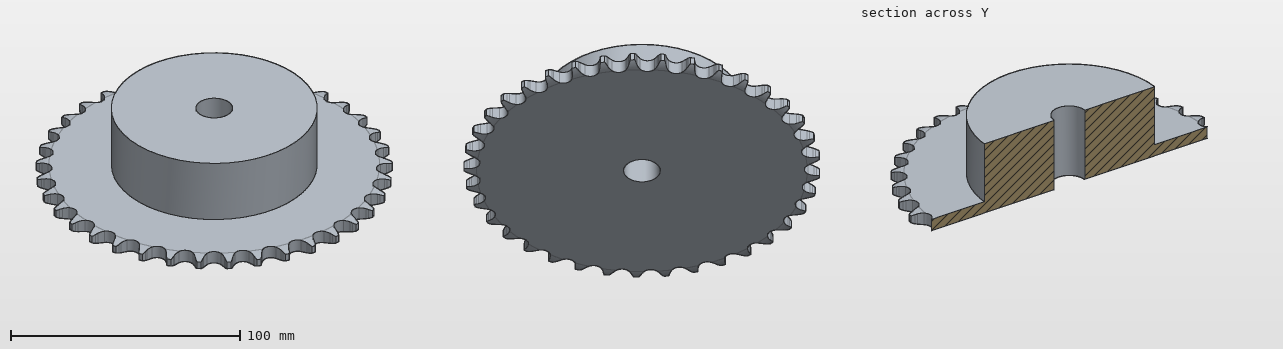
import cadquery as cq
import math

TOOTH_COUNT = 37
TIP_RADIUS = 77.8
PITCH_RADIUS = 74.9

SEAT_RADIUS = 3.9
SEAT_ANGLE = 52.5
WORKING_RADIUS = 10.5
WORKING_ANGLE = 16.5
FLANK_LENGTH = 1.12
TOPPING_RADIUS = 6.4
TOPPING_ANGLE = 20.0

PLATE_THICKNESS = 5.9
RIM_RELIEF_RADIUS = 13.4
RIM_RELIEF_DEPTH = 1.2

HUB_DIAMETER = 90.0
BORE_DIAMETER = 16.0
TOTAL_HEIGHT = 35.0

TOOTH_ANGLE = 360 / TOOTH_COUNT
FIRST_GAP_ANGLE = 90
GAP_OVERSHOOT = 1.5


def relief_reach(depth):
    """Radial distance over which the rim relief arc, tangent to a face, falls by depth."""
    return math.sqrt(2 * RIM_RELIEF_RADIUS * depth - depth**2)


def make_blank():
    """Toothless disc whose rim thins along arcs tangent to both faces."""
    flat_radius = TIP_RADIUS - relief_reach(RIM_RELIEF_DEPTH)
    mid_depth = RIM_RELIEF_DEPTH / 4
    mid_radius = flat_radius + relief_reach(mid_depth)
    return (
        cq.Workplane("XZ")
        .lineTo(flat_radius, 0)
        .threePointArc((mid_radius, mid_depth), (TIP_RADIUS, RIM_RELIEF_DEPTH))
        .lineTo(TIP_RADIUS, PLATE_THICKNESS - RIM_RELIEF_DEPTH)
        .threePointArc((mid_radius, PLATE_THICKNESS - mid_depth), (flat_radius, PLATE_THICKNESS))
        .lineTo(0, PLATE_THICKNESS)
        .close()
        .revolve(360, (0, 0), (0, 1))
    )


def along_arc(start, heading, radius, turn):
    """Point reached from start along an arc; positive turn is counter-clockwise, in degrees."""
    begin = math.radians(heading)
    end = math.radians(heading + turn)
    signed_radius = math.copysign(radius, turn)
    return (
        start[0] + signed_radius * (math.sin(end) - math.sin(begin)),
        start[1] - signed_radius * (math.cos(end) - math.cos(begin)),
    )


def make_half_gap():
    """Half of the space between two teeth, lying above the +X axis."""
    root = (PITCH_RADIUS - SEAT_RADIUS, 0)
    seat_heading = 90
    seat_middle = along_arc(root, seat_heading, SEAT_RADIUS, -SEAT_ANGLE / 2)
    seat_end = along_arc(root, seat_heading, SEAT_RADIUS, -SEAT_ANGLE)

    working_heading = seat_heading - SEAT_ANGLE
    working_middle = along_arc(seat_end, working_heading, WORKING_RADIUS, -WORKING_ANGLE / 2)
    working_end = along_arc(seat_end, working_heading, WORKING_RADIUS, -WORKING_ANGLE)

    flank_heading = working_heading - WORKING_ANGLE
    flank_end = (
        working_end[0] + FLANK_LENGTH * math.cos(math.radians(flank_heading)),
        working_end[1] + FLANK_LENGTH * math.sin(math.radians(flank_heading)),
    )
    topping_middle = along_arc(flank_end, flank_heading, TOPPING_RADIUS, TOPPING_ANGLE / 2)
    topping_end = along_arc(flank_end, flank_heading, TOPPING_RADIUS, TOPPING_ANGLE)

    outer_x = TIP_RADIUS + GAP_OVERSHOOT
    return (
        cq.Workplane("XY")
        .moveTo(*root)
        .threePointArc(seat_middle, seat_end)
        .threePointArc(working_middle, working_end)
        .lineTo(*flank_end)
        .threePointArc(topping_middle, topping_end)
        .lineTo(outer_x, topping_end[1])
        .lineTo(outer_x, 0)
        .close()
        .extrude(PLATE_THICKNESS)
    )


def make_toothed_plate():
    half_gap = make_half_gap()
    gap = half_gap.union(half_gap.mirror("XZ"))
    gaps = [
        gap.rotate((0, 0, 0), (0, 0, 1), FIRST_GAP_ANGLE + i * TOOTH_ANGLE).val()
        for i in range(TOOTH_COUNT)
    ]
    return make_blank().cut(cq.Compound.makeCompound(gaps))


hub = cq.Workplane("XY").circle(HUB_DIAMETER / 2).extrude(TOTAL_HEIGHT)
bore = cq.Workplane("XY").circle(BORE_DIAMETER / 2).extrude(TOTAL_HEIGHT)

result = make_toothed_plate().union(hub).cut(bore)